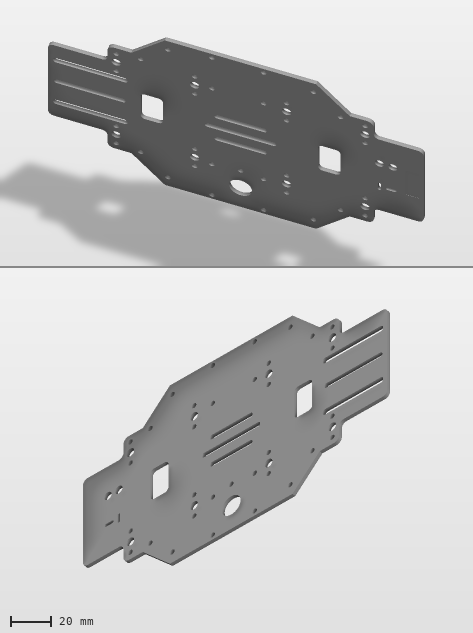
import cadquery as cq
LENGTH = 196.0
HEIGHT = 118.0
THICKNESS = 2.1
TAB_HEIGHT = 57.5
SHOULDER_HEIGHT = 82.0
CENTER_X = 2.5
SHOULDER_LENGTH = 139.0
CHAMFER_BASE_LENGTH = 114.0
LONG_EDGE_LENGTH = 79.0
CORNER_RADIUS = 3.0
SHOULDER_RADIUS = 3.5
NOTCH_RADIUS = 3.0

ARM_OUTER_X = 65.0
ARM_INNER_X = 24.0
ARM_Z = 29.5
ARM_SCREW_OFFSET = 7.0
ARM_HOLE_DIAMETER = 5.0
SCREW_DIAMETER = 3.0

SLANT_SCREWS = [(38.0, 52.1), (52.2, 37.9)]

FRAME_CENTER_X = 1.0
FRAME_SPACING_X = 27.0
FRAME_SCREW_Z = [56.0, 31.0]

CAMERA_X = CENTER_X
CAMERA_Z = -43.5
CAMERA_DIAMETER = 12.0
CAMERA_SCREW_Z = -ARM_Z

WINDOW_OFFSET = 46.35
WINDOW_WIDTH = 11.7
WINDOW_HEIGHT = 20.0
WINDOW_RADIUS = 2.5

STRAP_WIDTH = 2.85
MIDDLE_SLOT_X = CENTER_X
MIDDLE_SLOT_LONG = 37.4
MIDDLE_SLOT_SHORT = 27.4
MIDDLE_SLOT_OFFSET_Z = 9.0
TAB_SLOT_X = -75.9
TAB_SLOT_LONG = 39.1
TAB_SLOT_WIDTH = 3.5
TAB_SLOT_OFFSET_Z = 17.0
TAB_CENTER_SLOT_X = -76.2
TAB_CENTER_SLOT_LONG = 37.4

UPRIGHT_TIE_X = 75.0
CABLE_HOLES_X = [UPRIGHT_TIE_X, 82.0]
CABLE_HOLE_Z = 9.25
CABLE_HOLE_DIAMETER = 4.8
TIE_LENGTH = 5.7
TIE_WIDTH = 1.8
TIE_Z = -9.5
FLAT_TIE_X = 81.2

LABEL_X = 92.4
LABEL_WIDTH = 7.4
LABEL_HEIGHT = 19.6
LABEL_DEPTH = 0.1

BOTH_SIDES = (-1, 1)


def sketch_plane():
    """XZ plane on the front face, with local axes X and Z and its normal along -Y."""
    return cq.Workplane("XZ", origin=(0, -THICKNESS / 2, 0))


def block(length, height, center_x):
    return sketch_plane().center(center_x, 0).rect(length, height).extrude(-THICKNESS)


def build_outline():
    """Octagonal body with shoulders, and a narrower tab running the full length."""
    tabs = block(LENGTH, TAB_HEIGHT, 0).edges("|Y").fillet(CORNER_RADIUS)
    shoulders = block(SHOULDER_LENGTH, SHOULDER_HEIGHT, CENTER_X).edges("|Y").fillet(SHOULDER_RADIUS)
    half_base = CHAMFER_BASE_LENGTH / 2
    half_edge = LONG_EDGE_LENGTH / 2
    half_shoulder = SHOULDER_HEIGHT / 2
    half_height = HEIGHT / 2
    octagon = [
        (-half_base, -half_shoulder),
        (-half_edge, -half_height),
        (half_edge, -half_height),
        (half_base, -half_shoulder),
        (half_base, half_shoulder),
        (half_edge, half_height),
        (-half_edge, half_height),
        (-half_base, half_shoulder),
    ]
    body = sketch_plane().center(CENTER_X, 0).polyline(octagon).close().extrude(-THICKNESS)
    plate = tabs.union(shoulders).union(body)
    notch_edges = [(CENTER_X + sx * SHOULDER_LENGTH / 2, sz * TAB_HEIGHT / 2)
                   for sx in BOTH_SIDES for sz in BOTH_SIDES]
    for x, z in notch_edges:
        plate = plate.edges(cq.selectors.NearestToPointSelector((x, 0, z))).fillet(NOTCH_RADIUS)
    return plate


def cut_holes(plate, points, diameter):
    cutter = sketch_plane().pushPoints(points).circle(diameter / 2).extrude(-THICKNESS)
    return plate.cut(cutter)


def cut_slots(plate, points, length, width, angle=0):
    cutter = sketch_plane().pushPoints(points).slot2D(length, width, angle).extrude(-THICKNESS)
    return plate.cut(cutter)


def cut_arm_holes(plate):
    columns = [CENTER_X + side * offset for side in BOTH_SIDES for offset in (ARM_OUTER_X, ARM_INNER_X)]
    centers = [(x, side * ARM_Z) for x in columns for side in BOTH_SIDES]
    screws = [(x, z + side * ARM_SCREW_OFFSET) for x, z in centers for side in BOTH_SIDES]
    plate = cut_holes(plate, centers, ARM_HOLE_DIAMETER)
    return cut_holes(plate, screws, SCREW_DIAMETER)


def cut_frame_screws(plate):
    slanted = [(CENTER_X + sx * x, sz * z)
               for x, z in SLANT_SCREWS for sx in BOTH_SIDES for sz in BOTH_SIDES]
    middle = [(FRAME_CENTER_X + sx * FRAME_SPACING_X / 2, sz * z)
              for z in FRAME_SCREW_Z for sx in BOTH_SIDES for sz in BOTH_SIDES]
    return cut_holes(plate, slanted + middle, SCREW_DIAMETER)


def cut_camera_opening(plate):
    plate = cut_holes(plate, [(CAMERA_X, CAMERA_Z)], CAMERA_DIAMETER)
    return cut_holes(plate, [(CAMERA_X, CAMERA_SCREW_Z)], SCREW_DIAMETER)


def cut_windows(plate):
    for side in BOTH_SIDES:
        window = block(WINDOW_WIDTH, WINDOW_HEIGHT, CENTER_X + side * WINDOW_OFFSET)
        plate = plate.cut(window.edges("|Y").fillet(WINDOW_RADIUS))
    return plate


def cut_strap_slots(plate):
    middle_pair = [(MIDDLE_SLOT_X, side * MIDDLE_SLOT_OFFSET_Z) for side in BOTH_SIDES]
    tab_pair = [(TAB_SLOT_X, side * TAB_SLOT_OFFSET_Z) for side in BOTH_SIDES]
    plate = cut_slots(plate, [(MIDDLE_SLOT_X, 0)], MIDDLE_SLOT_LONG, STRAP_WIDTH)
    plate = cut_slots(plate, middle_pair, MIDDLE_SLOT_SHORT, STRAP_WIDTH)
    plate = cut_slots(plate, [(TAB_CENTER_SLOT_X, 0)], TAB_CENTER_SLOT_LONG, STRAP_WIDTH)
    return cut_slots(plate, tab_pair, TAB_SLOT_LONG, TAB_SLOT_WIDTH)


def cut_cable_openings(plate):
    plate = cut_holes(plate, [(x, CABLE_HOLE_Z) for x in CABLE_HOLES_X], CABLE_HOLE_DIAMETER)
    plate = cut_slots(plate, [(UPRIGHT_TIE_X, TIE_Z)], TIE_LENGTH, TIE_WIDTH, 90)
    return cut_slots(plate, [(FLAT_TIE_X, TIE_Z)], TIE_LENGTH, TIE_WIDTH)


def cut_label_panel(plate):
    panel = sketch_plane().center(LABEL_X, 0).rect(LABEL_WIDTH, LABEL_HEIGHT).extrude(-LABEL_DEPTH)
    return plate.cut(panel)


plate = build_outline()
plate = cut_arm_holes(plate)
plate = cut_frame_screws(plate)
plate = cut_camera_opening(plate)
plate = cut_windows(plate)
plate = cut_strap_slots(plate)
plate = cut_cable_openings(plate)
result = cut_label_panel(plate)